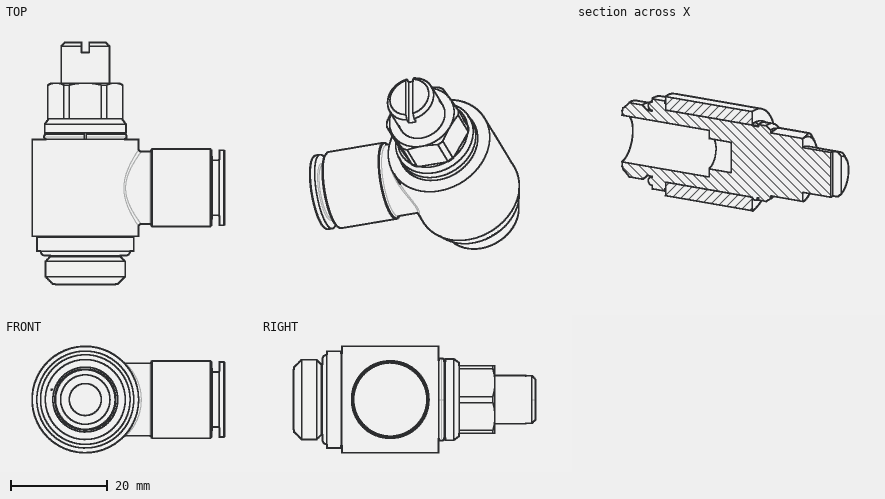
import cadquery as cq
import math


barrel_radius = 11.0
barrel_start = 10.0
barrel_length = 20.0
barrel_end = barrel_start + barrel_length
branch_y = barrel_start + barrel_length / 2
journal_radius = 7.9

branch_neck_radius = 7.5
branch_root_fillet = 0.5
socket_radius = 8.0
socket_start = 13.65
socket_end = 26.05
socket_root_fillet = 0.35
socket_start_chamfer = socket_radius - branch_neck_radius - socket_root_fillet
socket_end_chamfer = 0.3
lip_radius = 6.35
lip_length = 0.15
collet_radius = 5.7
collet_flange_radius = 7.75
collet_flange_start = 27.65
collet_flange_fillet = 0.25
collet_flange_chamfer = 0.2
branch_end = 28.8

bolt_length = 50.0
end_boss_radius = 6.3
end_boss_height = 0.15
thread_radius = 8.25
thread_end_chamfer = 1.55
undercut_radius = 7.25
undercut_chamfer_start = 4.8
undercut_chamfer = thread_radius - undercut_radius
seal_tube_radius = 0.95
seal_ring_radius = 8.3
flange_radius = 10.0
flange_start = 6.95
flange_gap = 0.15
flange_end = barrel_start - flange_gap
flange_neck_radius = 9.5
snap_tube_radius = 0.55
snap_ring_radius = 8.0
snap_ring_y = barrel_end + snap_tube_radius
snap_ring_gap = 0.4
collar_radius = 8.4
collar_start = 31.35
collar_chamfer_start = 33.1
collar_top_radius = 7.6
collar_end = 34.2
hex_end = 41.6
hex_sides = 6
hex_across_flats = 14.0
hex_corner_radius = 7.75
hex_chamfer_angle = 30.0
stem_radius = 5.0
stem_chamfer = 0.8
slot_width = 1.55
slot_depth = 2.05

bore_radius = 5.1
bore_depth = 20.0
passage_radius = 3.3
passage_depth = 5.0


def cylinder_y(radius, start, end):
    """Solid cylinder on the bolt axis between two Y stations."""
    return cq.Workplane("XZ", origin=(0, start, 0)).circle(radius).extrude(start - end)


def torus_y(ring_radius, tube_radius, y):
    """Round-section ring about the bolt axis."""
    section = cq.Workplane("XY").center(ring_radius, y).circle(tube_radius)
    return section.revolve(360, (-ring_radius, 0), (-ring_radius, 1))


def make_barrel_with_neck():
    """Barrel and plain branch neck, blended where they meet."""
    barrel = cylinder_y(barrel_radius, barrel_start, barrel_end)
    neck = cq.Workplane("YZ").center(branch_y, 0).circle(branch_neck_radius).extrude(socket_start)
    body = barrel.union(neck)
    blend_zone = cq.selectors.BoxSelector(
        (branch_neck_radius / 2, branch_y - branch_neck_radius, -branch_neck_radius),
        (barrel_radius, branch_y + branch_neck_radius, branch_neck_radius),
    )
    return body.edges(blend_zone).edges("not %LINE").fillet(branch_root_fillet)


def make_socket_and_collet():
    """Turned socket and release collet, revolved about the branch axis."""
    root = socket_start - socket_root_fillet
    arc_shift = socket_root_fillet * math.sqrt(0.5)
    flange_root = collet_flange_start - collet_flange_fillet
    flange_arc_shift = collet_flange_fillet * math.sqrt(0.5)
    profile = (
        cq.Workplane("XY", origin=(0, branch_y, 0))
        .moveTo(root, 0)
        .lineTo(root, branch_neck_radius)
        .threePointArc(
            (root + arc_shift, branch_neck_radius + socket_root_fillet - arc_shift),
            (socket_start, branch_neck_radius + socket_root_fillet),
        )
        .lineTo(socket_start + socket_start_chamfer, socket_radius)
        .lineTo(socket_end - socket_end_chamfer, socket_radius)
        .lineTo(socket_end, socket_radius - socket_end_chamfer)
        .lineTo(socket_end, lip_radius)
        .lineTo(socket_end + lip_length, lip_radius)
        .lineTo(socket_end + lip_length, collet_radius)
        .lineTo(flange_root, collet_radius)
        .threePointArc(
            (flange_root + flange_arc_shift, collet_radius + collet_flange_fillet - flange_arc_shift),
            (collet_flange_start, collet_radius + collet_flange_fillet),
        )
        .lineTo(collet_flange_start, collet_flange_radius)
        .lineTo(branch_end - collet_flange_chamfer, collet_flange_radius)
        .lineTo(branch_end, collet_flange_radius - collet_flange_chamfer)
        .lineTo(branch_end, 0)
        .close()
    )
    return profile.revolve(360, (0, 0), (1, 0))


def make_banjo():
    body = make_barrel_with_neck().union(make_socket_and_collet())
    return body.cut(cylinder_y(journal_radius, barrel_start, barrel_end))


def make_bolt_blank():
    """Turned outline of the bolt without its hexagon and rings."""
    thread_end_radius = thread_radius - thread_end_chamfer
    outline = [
        (0, 0),
        (end_boss_radius - end_boss_height, 0),
        (end_boss_radius, end_boss_height),
        (thread_end_radius, end_boss_height),
        (thread_radius, end_boss_height + thread_end_chamfer),
        (thread_radius, undercut_chamfer_start),
        (undercut_radius, undercut_chamfer_start + undercut_chamfer),
        (undercut_radius, flange_start),
        (flange_radius, flange_start),
        (flange_radius, flange_end),
        (flange_neck_radius, flange_end),
        (flange_neck_radius, barrel_start),
        (journal_radius, barrel_start),
        (journal_radius, collar_start),
        (collar_radius, collar_start),
        (collar_radius, collar_chamfer_start),
        (collar_top_radius, collar_end),
        (stem_radius, collar_end),
        (stem_radius, bolt_length - stem_chamfer),
        (stem_radius - stem_chamfer, bolt_length),
        (0, bolt_length),
    ]
    return cq.Workplane("XY").polyline(outline).close().revolve(360, (0, 0), (0, 1))


def make_hexagon():
    """Hexagon with flats on +Z and -Z, its corners turned down and its top chamfered."""
    across_corners = hex_across_flats / math.cos(math.pi / hex_sides)
    prism = (
        cq.Workplane("XZ", origin=(0, collar_end, 0))
        .polygon(hex_sides, across_corners)
        .extrude(collar_end - hex_end)
    )
    top_radius = hex_across_flats / 2
    chamfer_height = (hex_corner_radius - top_radius) * math.tan(math.radians(hex_chamfer_angle))
    turned = (
        cq.Workplane("XY")
        .moveTo(0, collar_end)
        .lineTo(hex_corner_radius, collar_end)
        .lineTo(hex_corner_radius, hex_end - chamfer_height)
        .lineTo(top_radius, hex_end)
        .lineTo(0, hex_end)
        .close()
        .revolve(360, (0, 0), (0, 1))
    )
    return prism.intersect(turned)


def make_snap_ring():
    """Open retaining ring above the barrel, its gap facing +Z."""
    gap = cq.Workplane("XY").box(
        snap_ring_gap, 2 * snap_tube_radius, barrel_radius, centered=(True, True, False)
    ).translate((0, snap_ring_y, 0))
    return torus_y(snap_ring_radius, snap_tube_radius, snap_ring_y).cut(gap)


def make_screwdriver_slot():
    return cq.Workplane("XY").box(
        slot_width, slot_depth, 2 * stem_radius
    ).translate((0, bolt_length - slot_depth / 2, 0))


def make_bolt():
    seal = torus_y(seal_ring_radius, seal_tube_radius, flange_start)
    bolt = make_bolt_blank().union(make_hexagon()).union(seal).union(make_snap_ring())
    bore = cylinder_y(bore_radius, 0, bore_depth)
    passage = cylinder_y(passage_radius, bore_depth, bore_depth + passage_depth)
    return bolt.cut(bore).cut(passage).cut(make_screwdriver_slot())


banjo = make_banjo()
bolt = make_bolt()

result = cq.Compound.makeCompound([banjo.val(), bolt.val()])